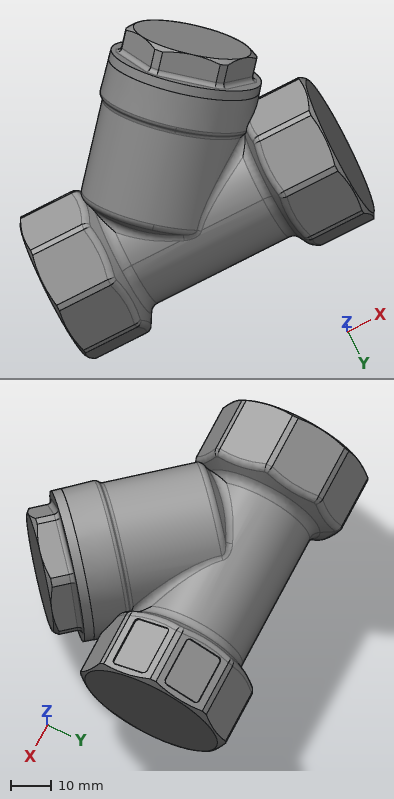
import cadquery as cq
import math

run_length = 80.0
tube_radius = 14.5
nut_across_flats = 38.0
nut_corner_radius = 20.25
nut_face_radius = 18.5
nut_back_x = 23.45
nut_edge_fillet = 2.0
nut_neck_fillet = 3.0
nut_sides = 8
tee_half_length = 30.0

recess_length = 13.3
recess_width = 10.15
recess_depth = 0.5
recess_corner_radius = 1.0
recess_center_x = 31.4

bevel_angle = math.radians(30)

branch_origin_x = -14.6
branch_angle = 50.0
branch_radius = 18.5
branch_shoulder_start = 10.0
branch_base_round = 2.0
collar_radius = 19.5
collar_start = 35.85
collar_round = 1.2
collar_end_radius = 19.2
collar_overlap = 5.0
branch_end = 44.4
seam_fillet = 2.0

flange_end = 46.9
cap_end = 53.8
cap_across_flats = 30.0
cap_corner_radius = 16.7
cap_base_fillet = 1.2
cap_sides = 6

branch_direction = cq.Vector(
    math.cos(math.radians(branch_angle)), -math.sin(math.radians(branch_angle)), 0
)
branch_lateral = cq.Vector(-branch_direction.y, branch_direction.x, 0)
branch_plane = cq.Plane(
    origin=(branch_origin_x, 0, 0), xDir=branch_lateral, normal=branch_direction
)


def bevel_length(radius_drop):
    """Axial length of a bevel that takes the given amount off the radius."""
    return radius_drop * math.tan(bevel_angle)


def across_corners(across_flats, sides):
    return across_flats / math.cos(math.pi / sides)


def turned_about_z(*outline):
    """Solid turned about Z from (radius, height) points that start and end on the axis."""
    return cq.Workplane("YZ").polyline(outline).close().revolve(360, (0, 0, 0), (0, 1, 0))


def circles_at_height(solid, *heights):
    """The circular edges that lie square to Z at the given heights."""
    tolerance = 1e-3
    circles = [
        edge for edge in solid.edges("%CIRCLE").vals()
        if any(abs(edge.Center().z - height) < tolerance for height in heights)
    ]
    return solid.newObject(circles)


def on_branch_axis(solid):
    """Move a solid built along Z onto the branch axis."""
    return cq.Workplane(solid.val().moved(cq.Location(branch_plane)))


neck_x = nut_back_x - bevel_length(nut_corner_radius - tube_radius)


def nut():
    """Octagonal nut along +Z, bevelled at both ends, with its corners on X and Y."""
    half_length = run_length / 2
    chamfer = bevel_length(nut_corner_radius - nut_face_radius)
    turned = turned_about_z(
        (0, neck_x),
        (tube_radius, neck_x),
        (nut_corner_radius, nut_back_x),
        (nut_corner_radius, half_length - chamfer),
        (nut_face_radius, half_length),
        (0, half_length),
    )
    octagon = (
        cq.Workplane("XY")
        .polygon(nut_sides, across_corners(nut_across_flats, nut_sides))
        .extrude(half_length)
    )
    blank = turned.intersect(octagon)
    mid_bevel_x = (neck_x + nut_back_x) / 2
    tolerance = 0.01
    back_edges = [
        edge for edge in blank.edges().vals()
        if mid_bevel_x < edge.Center().z < nut_back_x + tolerance
    ]
    return blank.newObject(back_edges).fillet(nut_edge_fillet)


def run_pipe():
    """Both nuts joined by the tube, with a rounded neck behind each nut."""
    tube = cq.Workplane("XY").circle(tube_radius).extrude(nut_back_x, both=True)
    right_nut = nut()
    left_nut = right_nut.mirror("XY")
    pipe = tube.union(right_nut).union(left_nut)
    pipe = circles_at_height(pipe, -neck_x, neck_x).fillet(nut_neck_fillet)
    return pipe.rotate((0, 0, 0), (0, 1, 0), 90)


def recess_cutter(flat_angle):
    """Recess in the flat whose normal is turned from +Z about X by flat_angle."""
    return (
        cq.Workplane("XY")
        .rect(recess_length, recess_width)
        .extrude(recess_depth)
        .edges("|Z")
        .fillet(recess_corner_radius)
        .translate((recess_center_x, 0, nut_across_flats / 2 - recess_depth))
        .rotate((0, 0, 0), (1, 0, 0), flat_angle)
    )


def trunk():
    """Plain branch cylinder with a coned base and a rounded base edge."""
    base_tangent = branch_base_round * math.tan((math.pi / 2 - bevel_angle) / 2)
    cone_top = branch_shoulder_start - base_tangent
    cone_tip = cone_top - bevel_length(branch_radius)
    turned = turned_about_z(
        (0, cone_tip),
        (branch_radius, cone_top),
        (branch_radius, branch_end),
        (0, branch_end),
    )
    rounded = circles_at_height(turned, cone_top).fillet(branch_base_round)
    return on_branch_axis(rounded.rotate((0, 0, 0), (0, 0, 1), 180))


def tapered_radius(distance):
    """Radius of the drafted collar, whose taper carries on over the cap flange."""
    share = (distance - collar_start) / (flange_end - collar_start)
    return collar_radius + share * (collar_end_radius - collar_radius)


def collar():
    """Drafted collar at the branch end, reached by a rounded 45 degree step."""
    step_angle = math.pi / 4
    step_top = collar_start - collar_round * math.tan(step_angle / 2)
    step_foot = step_top - (collar_radius - branch_radius)
    root = step_foot - collar_overlap
    turned = turned_about_z(
        (0, root),
        (branch_radius, root),
        (branch_radius, step_foot),
        (collar_radius, step_top),
        (tapered_radius(branch_end), branch_end),
        (0, branch_end),
    )
    rounded = circles_at_height(turned, step_foot, step_top).fillet(collar_round)
    return on_branch_axis(rounded.rotate((0, 0, 0), (0, 0, 1), 180))


def blended_tee():
    """Trunk joined to a length of the tube, with a fillet all along their seam."""
    tube = cq.Workplane("YZ").circle(tube_radius).extrude(tee_half_length, both=True)
    side = trunk()
    tee = tube.union(side)
    tolerance = 1e-3
    skins = [cq.Compound.makeCompound(part.faces().vals()) for part in (tube, side)]

    def on_both_skins(edge):
        middle = cq.Vertex.makeVertex(*edge.positionAt(0.5).toTuple())
        return all(skin.distance(middle) < tolerance for skin in skins)

    seam = [edge for edge in tee.edges().vals() if on_both_skins(edge)]
    return tee.newObject(seam).fillet(seam_fillet)


def body():
    housing = blended_tee().union(collar()).union(run_pipe(), clean=False)
    half_flat = 180 / nut_sides
    for flat_angle in (-half_flat, half_flat):
        housing = housing.cut(recess_cutter(flat_angle), clean=False)
    return housing


def cap():
    """Drafted flange with a bevelled hexagon head that has flats square to Z."""
    flange = turned_about_z(
        (0, branch_end),
        (tapered_radius(branch_end), branch_end),
        (collar_end_radius, flange_end),
        (0, flange_end),
    )
    face_radius = cap_across_flats / 2
    chamfer = bevel_length(cap_corner_radius - face_radius)
    head = turned_about_z(
        (0, flange_end),
        (cap_corner_radius, flange_end),
        (cap_corner_radius, cap_end - chamfer),
        (face_radius, cap_end),
        (0, cap_end),
    )
    hexagon = (
        cq.Workplane("XY")
        .polygon(cap_sides, across_corners(cap_across_flats, cap_sides))
        .extrude(cap_end)
    )
    blank = flange.union(head.intersect(hexagon))
    tolerance = 1e-3
    foot_edges = [
        edge for edge in blank.edges().vals()
        if abs(edge.Center().z - flange_end) < tolerance and edge.Length() < cap_across_flats
    ]
    return on_branch_axis(blank.newObject(foot_edges).fillet(cap_base_fillet))


result = cq.Compound.makeCompound([body().val(), cap().val()])